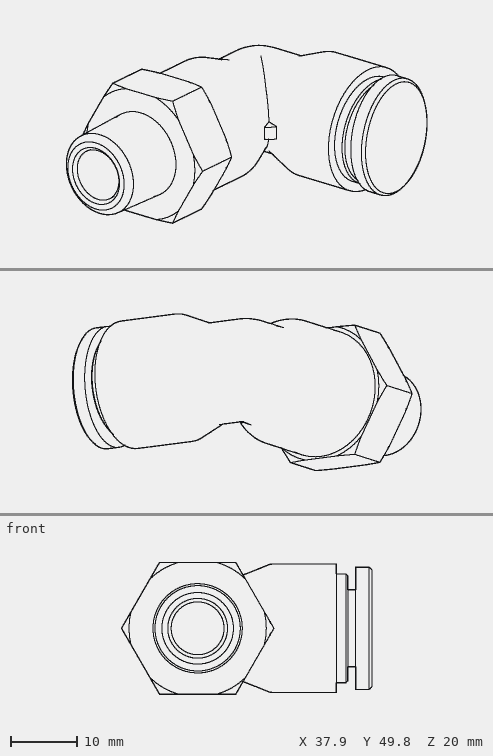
import cadquery as cq
import math


neck_radius = 7.75
socket_radius = 19.5 / 2
flare_start = 6.0
flare_end = 11.05
arm_length = 21.0
flare_blend_radius = 1.0
web_thickness = 2.0

hex_across_flats = 20.0
hex_length = 8.0
hex_chamfer_circle_radius = 10.4
hex_chamfer_depth = 0.45
thread_root_radius = 6.75
thread_tip_radius = 6.45
thread_end_radius = 5.4
thread_chamfer_length = 0.95
stud_end = 40.0
bore_radius = 8.0 / 2
bore_mouth_radius = 4.55
bore_chamfer_depth = 0.5

collar_radius = 16.5 / 2
collar_length = 1.75
collar_chamfer = 0.3
stem_radius = 11.7 / 2
head_start = 23.95
head_end = 26.4
head_width = 16.0
head_height = 18.55
head_chamfer = 0.45


def turned_about_y(points):
    """Solid of revolution about the Y axis from (radius, y) points."""
    return cq.Workplane("XY").polyline(points).close().revolve(360, (0, 0, 0), (0, 1, 0))


def cylinder_along_x(radius, start, end):
    return cq.Workplane("YZ").workplane(offset=start).circle(radius).extrude(end - start)


def make_elbow_arm():
    """Arm along -Y: a neck that flares out to a wider socket, with blended corners."""
    arm = turned_about_y([
        (0, 0),
        (neck_radius, 0),
        (neck_radius, -flare_start),
        (socket_radius, -flare_end),
        (socket_radius, -arm_length),
        (0, -arm_length),
    ])
    return arm.faces("%CONE").edges("%CIRCLE").fillet(flare_blend_radius)


def make_elbow():
    leg = make_elbow_arm()
    port_arm = make_elbow_arm().rotate((0, 0, 0), (0, 0, 1), 90)
    bend = cq.Workplane("XY").sphere(neck_radius)
    web = (
        cq.Workplane("XY")
        .workplane(offset=-web_thickness / 2)
        .polyline([(0, 0), (flare_end, -socket_radius), (socket_radius, -flare_end)])
        .close()
        .extrude(web_thickness)
    )
    return leg.union(port_arm).union(bend).union(web)


def make_stud():
    hex_start = -arm_length
    hex_end = hex_start - hex_length
    corner_diameter = hex_across_flats / math.cos(math.pi / 6)
    corner_radius = corner_diameter / 2

    hexagon = (
        cq.Workplane("XZ")
        .workplane(offset=arm_length)
        .polygon(6, corner_diameter)
        .extrude(hex_length)
    )
    chamfered_blank = turned_about_y([
        (0, hex_start),
        (hex_chamfer_circle_radius, hex_start),
        (corner_radius, hex_start - hex_chamfer_depth),
        (corner_radius, hex_end + hex_chamfer_depth),
        (hex_chamfer_circle_radius, hex_end),
        (0, hex_end),
    ])
    thread = turned_about_y([
        (0, hex_end),
        (thread_root_radius, hex_end),
        (thread_tip_radius, -stud_end + thread_chamfer_length),
        (thread_end_radius, -stud_end),
        (0, -stud_end),
    ])
    bore = turned_about_y([
        (0, hex_start),
        (bore_radius, hex_start),
        (bore_radius, -stud_end + bore_chamfer_depth),
        (bore_mouth_radius, -stud_end),
        (0, -stud_end),
    ])
    return hexagon.intersect(chamfered_blank).union(thread).cut(bore)


def make_collar():
    collar_end = arm_length + collar_length
    ring = cylinder_along_x(collar_radius, arm_length, collar_end)
    ring = ring.faces(">X").chamfer(collar_chamfer)
    return ring.cut(cylinder_along_x(stem_radius, arm_length, collar_end))


def make_release_sleeve():
    """Round stem through the collar, with an oval push head outside it."""
    stem = cylinder_along_x(stem_radius, arm_length, head_start)
    head = (
        cq.Workplane("YZ")
        .workplane(offset=head_start)
        .ellipse(head_width / 2, head_height / 2)
        .extrude(head_end - head_start)
        .faces(">X")
        .chamfer(head_chamfer)
    )
    return stem.union(head)


elbow = make_elbow()
stud = make_stud()
collar = make_collar()
release_sleeve = make_release_sleeve()

result = cq.Compound.makeCompound([elbow.val(), stud.val(), collar.val(), release_sleeve.val()])